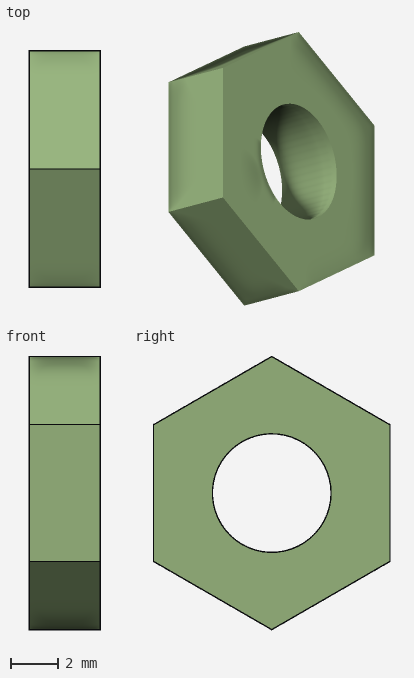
import cadquery as cq
import math

across_flats = 10.0
thickness = 3.0
bore_diameter = 5.0

side_count = 6
half_side_angle = 180.0 / side_count
across_corners = across_flats / math.cos(math.radians(half_side_angle))
corner_up_angle = 90.0


def hex_body():
    """Hexagonal plate along X, with corners at +Z and -Z and flats at +Y and -Y."""
    return (
        cq.Workplane("YZ")
        .transformed(rotate=(0, 0, corner_up_angle))
        .polygon(side_count, across_corners)
        .extrude(thickness / 2, both=True)
    )


def bore():
    """Cylinder that cuts the through hole along the X axis."""
    return (
        cq.Workplane("YZ")
        .circle(bore_diameter / 2)
        .extrude(thickness / 2, both=True)
    )


result = hex_body().cut(bore())